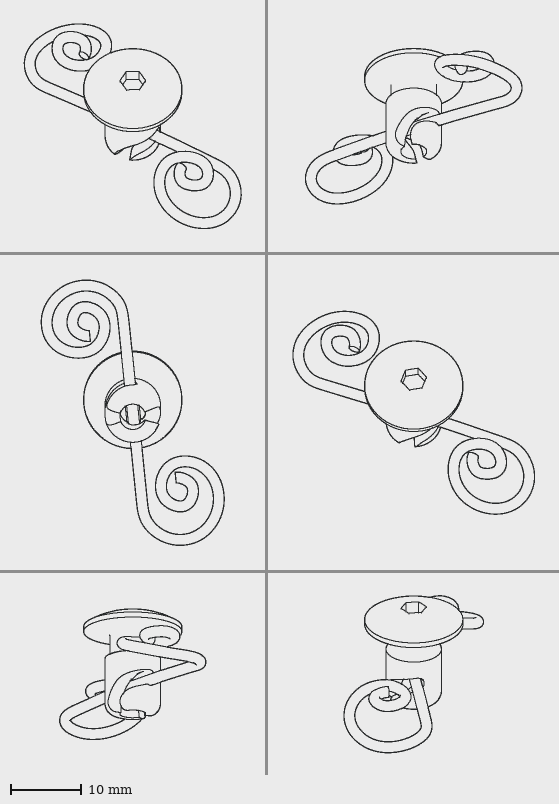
import cadquery as cq
import math


head_radius = 7.0
rim_bottom = 12.25
rim_top = 13.0
dome_apex = 15.0
neck_radius = 3.25
body_radius = 3.95
body_top = 8.25
neck_fillet = body_radius - neck_radius
end_fillet = 1.5

hex_diameter = 3.65
hex_depth = 2.1

longest_side = 41.6
wire_radius = 0.8
spring_angle = 22.0
wire_center_height = 4.1
arm_end_reach = 13.05
arm_end_height = 3.75
coil_top_height = 7.45

seat_radius = 1.0
seat_height = 4.6
bore_radius = 1.85
slot_inner_radius = 0.4
slot_outer_radius = body_radius + 0.4
half_turn = 180.0
slot_upper_edge = [(-85, -0.4), (-82, 0.85), (-66, 2.95), (-42, 4.58), (-28, 5), (0, 5.45),
                   (spring_angle, seat_height + seat_radius)]
slot_lower_edge = [(-46, -0.4), (-45, 0.85), (-35, 2.1), (0, 3.1), (spring_angle, seat_height - seat_radius)]


def polar_point(radius, angle, height):
    turn = math.radians(angle)
    return cq.Vector(radius * math.cos(turn), radius * math.sin(turn), height)


def rotate_half_turn(shape):
    return shape.rotate((0, 0, 0), (0, 0, 1), half_turn)



def sweep_wire(edge):
    """Round wire along one edge, from the start of the edge."""
    start_plane = cq.Plane(origin=edge.positionAt(0), normal=edge.tangentAt(0))
    return cq.Workplane(start_plane).circle(wire_radius).sweep(cq.Workplane(cq.Wire.assembleEdges([edge])))


def make_arm_line():
    """Bowed arm through the stud axis, joining the two coils."""
    return cq.Edge.makeThreePointArc(
        polar_point(arm_end_reach, spring_angle, arm_end_height),
        cq.Vector(0, 0, wire_center_height),
        polar_point(arm_end_reach, spring_angle + half_turn, arm_end_height),
    )


def make_coil_line(arm_line):
    """Spiral on the -X side: it leaves the arm smoothly, rises, and curls inward at one height."""
    rising_coil = [
        arm_line.positionAt(1),
        cq.Vector(-14.7, -5.57, 3.5),
        cq.Vector(-18.55, -3.83, 3.1),
        cq.Vector(-longest_side / 2 + wire_radius, -0.05, 3.0),
        cq.Vector(-18.45, 3.75, 3.9),
        cq.Vector(-14.25, 5.5, 5.65),
        cq.Vector(-11.15, 4.0, 7.0),
    ]
    flat_coil = [
        cq.Vector(x, y, coil_top_height)
        for x, y in [(-10.03, 1.05), (-11.05, -1.1), (-13.98, -2.12), (-16.1, 0.1),
                     (-13.98, 2.12), (-12.7, 1.62), (-11.9, 0.62)]
    ]
    points = rising_coil + flat_coil
    free_tangents = [None] * (len(points) - 1)
    return cq.Edge.makeSpline(points, tangents=[arm_line.tangentAt(1)] + free_tangents)


def make_spring():
    arm_line = make_arm_line()
    coil = sweep_wire(make_coil_line(arm_line))
    return sweep_wire(arm_line).union(coil).union(rotate_half_turn(coil))



def make_turned_stud():
    """Domed head, filleted neck and round-ended body, revolved about Z."""
    dome_rise = dome_apex - rim_top
    dome_radius = (head_radius**2 + dome_rise**2) / (2 * dome_rise)
    dome_mid_x = head_radius / 2
    dome_mid_z = dome_apex - dome_radius + math.sqrt(dome_radius**2 - dome_mid_x**2)
    profile = (
        cq.Workplane("XZ")
        .lineTo(body_radius - end_fillet, 0)
        .radiusArc((body_radius, end_fillet), -end_fillet)
        .lineTo(body_radius, body_top)
        .radiusArc((neck_radius, body_top + neck_fillet), neck_fillet)
        .lineTo(neck_radius, rim_bottom - neck_fillet)
        .radiusArc((neck_radius + neck_fillet, rim_bottom), neck_fillet)
        .lineTo(head_radius, rim_bottom)
        .lineTo(head_radius, rim_top)
        .threePointArc((dome_mid_x, dome_mid_z), (0, dome_apex))
        .close()
    )
    return profile.revolve(360, (0, 0), (0, 1))


def make_hex_socket():
    return (
        cq.Workplane("XY", origin=(0, 0, dome_apex - hex_depth))
        .transformed(rotate=(0, 0, spring_angle + 90))
        .polygon(6, hex_diameter)
        .extrude(hex_depth)
    )


def make_slot_side():
    """Cam slot on one side: its walls are radial, ruled from an inner to an outer outline."""
    def edge_at(radius, edge):
        return cq.Edge.makeSpline([polar_point(radius, angle, height) for angle, height in edge])

    def closing_line(radius, index):
        return cq.Edge.makeLine(
            polar_point(radius, *slot_upper_edge[index]), polar_point(radius, *slot_lower_edge[index])
        )

    def outline_at(radius):
        return (edge_at(radius, slot_upper_edge), edge_at(radius, slot_lower_edge),
                closing_line(radius, 0), closing_line(radius, -1))

    inner = outline_at(slot_inner_radius)
    outer = outline_at(slot_outer_radius)
    walls = [cq.Face.makeRuledSurface(a, b) for a, b in zip(inner, outer)]
    caps = [cq.Face.makeRuledSurface(outline[0], outline[1]) for outline in (inner, outer)]
    return cq.Workplane(cq.Solid.makeSolid(cq.Shell.makeShell(walls + caps)).fix())


def make_cam_slot():
    """Both slot sides, the central bore joining them, and the cross hole where the wire seats."""
    side = make_slot_side()
    bore = cq.Workplane("XY").circle(bore_radius).extrude(seat_height)
    seat_plane = cq.Plane(origin=(0, 0, seat_height), normal=polar_point(1, spring_angle, 0))
    seat = cq.Workplane(seat_plane).circle(seat_radius).extrude(slot_outer_radius, both=True)
    return [side, rotate_half_turn(side), bore, seat]


def make_stud(spring):
    stud = make_turned_stud().cut(make_hex_socket()).cut(spring)
    for cutter in make_cam_slot():
        stud = stud.cut(cutter)
    return stud


spring = make_spring()
stud = make_stud(spring)
result = cq.Compound.makeCompound([stud.solids().val(), spring.solids().val()])